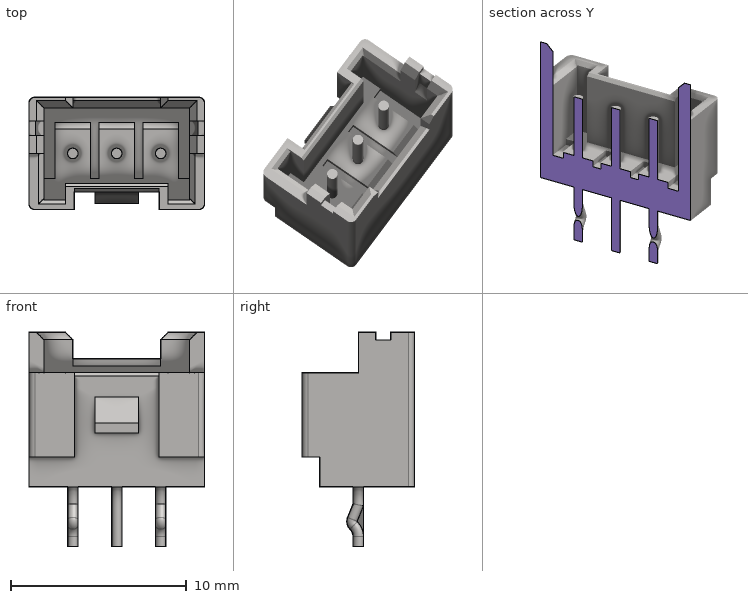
import cadquery as cq
import math


WIDTH = 10.0
DEPTH = 6.4
TOTAL_HEIGHT = 12.2
HEIGHT = 8.8
FRONT_HEIGHT = 6.5
CORNER_RADIUS = 0.35
Y_BACK = DEPTH / 2
Y_FRONT = -DEPTH / 2

SIDE_WALL = 0.85
BACK_WALL = 0.61
BOX_WALL = 0.56
LATCH_WALL = 0.5
X_CAVITY = WIDTH / 2 - SIDE_WALL
Y_CAVITY_BACK = Y_BACK - BACK_WALL
Y_CAVITY_FRONT = Y_FRONT + BOX_WALL

LEAD_IN = 0.43
LOW_SIDE_LEAD_IN = 0.3
LOW_FRONT_LEAD_IN = 0.23

BACK_NOTCH_WIDTH = 5.0
BACK_NOTCH_FLOOR = 7.3
SIDE_NOTCH_DEPTH = 0.44
GROOVE_WIDTH = 0.84
GROOVE_FROM_BACK = 1.35
GROOVE_FOOT = 6.04
GROOVE_SKIN = 0.38

RECESS_WIDTH = 4.82
RECESS_DEPTH = 1.0
LEDGE_HEIGHT = 1.7
OUTER_CHAMFER = 0.21
INNER_CHAMFER = 0.17
LATCH_WIDTH = 2.49
LATCH_REACH = 0.65
LATCH_TOP = 5.1
LATCH_EDGE = 3.64
LATCH_BOTTOM = 3.06
Y_LATCH_WALL = Y_FRONT + RECESS_DEPTH

TONGUE_RAMP = 0.38
FLOOR_TOP = LEDGE_HEIGHT
SHELF_TOP = FLOOR_TOP + TONGUE_RAMP
TONGUE_WIDTH = 2.0
Y_TONGUE_END = 1.76
Y_SHELF_EDGE = -1.42

PIN_DIAMETER = 0.6
PIN_PITCH = 2.5
PIN_TOP = 5.87
PIN_BOTTOM = HEIGHT - TOTAL_HEIGHT
KINK_START = -1.02
KINK_ANGLE = math.radians(22)
RETURN_ANGLE = math.radians(45)
ELBOW_RADIUS = 0.32
RETURN_RADIUS = 0.9


def block(x0, x1, y0, y1, z0, z1):
    """Box between opposite corners."""
    return cq.Workplane("XY").box(x1 - x0, y1 - y0, z1 - z0, centered=False).translate((x0, y0, z0))


def prism_along_x(points, length):
    """Outline of (y, z) points, extruded symmetrically about X = 0."""
    return cq.Workplane("YZ").polyline(points).close().extrude(length / 2, both=True)


def prism_along_y(points, y0, y1):
    """Outline of (x, z) points, extruded from y0 to y1."""
    return cq.Workplane("XZ", origin=(0, y0, 0)).polyline(points).close().extrude(y0 - y1)


def flared_mouth(y0, y1, z_top, depth):
    """Cutter as wide as the cavity that opens outward at 45 degrees up to z_top."""
    length = y1 - y0
    return (
        cq.Workplane("XY", origin=(0, (y0 + y1) / 2, z_top - depth))
        .rect(2 * X_CAVITY, length)
        .workplane(offset=depth)
        .rect(2 * (X_CAVITY + depth), length + 2 * depth)
        .loft(ruled=True)
    )


def outer_shell():
    """Rounded block, cut down to the lower front height ahead of the centre plane."""
    shell = cq.Workplane("XY").rect(WIDTH, DEPTH).extrude(HEIGHT)
    shell = shell.edges("|Z").fillet(CORNER_RADIUS)
    return shell.cut(block(-WIDTH, WIDTH, Y_FRONT, 0, FRONT_HEIGHT, HEIGHT))


def cavity():
    """Pocket with lead-ins on the tall rear rim and on the lower front rim."""
    pocket = block(-X_CAVITY, X_CAVITY, Y_CAVITY_FRONT, Y_CAVITY_BACK, FLOOR_TOP, HEIGHT)
    tall_mouth = flared_mouth(Y_CAVITY_FRONT, Y_CAVITY_BACK, HEIGHT, LEAD_IN)
    y_low_start = Y_CAVITY_FRONT + LOW_SIDE_LEAD_IN - LOW_FRONT_LEAD_IN
    low_mouth = flared_mouth(y_low_start, Y_CAVITY_BACK, FRONT_HEIGHT, LOW_SIDE_LEAD_IN)
    low_mouth = low_mouth.intersect(block(-WIDTH, WIDTH, Y_FRONT, 0, 0, HEIGHT))
    return pocket.union(tall_mouth).union(low_mouth)


def back_notch():
    """Wide notch in the back wall with flared top corners and a lead-in along its floor."""
    half = BACK_NOTCH_WIDTH / 2
    z_flare = HEIGHT - LEAD_IN
    notch = prism_along_y(
        [
            (-half, BACK_NOTCH_FLOOR),
            (half, BACK_NOTCH_FLOOR),
            (half, z_flare),
            (half + LEAD_IN, HEIGHT),
            (-half - LEAD_IN, HEIGHT),
            (-half, z_flare),
        ],
        0,
        Y_BACK,
    )
    lead_in = prism_along_x(
        [
            (Y_CAVITY_BACK, BACK_NOTCH_FLOOR - LEAD_IN),
            (Y_CAVITY_BACK + LEAD_IN, BACK_NOTCH_FLOOR),
            (Y_CAVITY_BACK, BACK_NOTCH_FLOOR),
        ],
        BACK_NOTCH_WIDTH,
    )
    return notch.union(lead_in)


def side_grooves():
    """Upright groove inside each side wall, with a sloped foot and a notch through the rim."""
    y1 = Y_BACK - GROOVE_FROM_BACK
    y0 = y1 - GROOVE_WIDTH
    x_groove = WIDTH / 2 - GROOVE_SKIN
    z_slope_top = GROOVE_FOOT + x_groove - X_CAVITY
    profile = [
        (-X_CAVITY, GROOVE_FOOT),
        (X_CAVITY, GROOVE_FOOT),
        (x_groove, z_slope_top),
        (x_groove, HEIGHT),
        (-x_groove, HEIGHT),
        (-x_groove, z_slope_top),
    ]
    rim_notch = block(-WIDTH / 2, WIDTH / 2, y0, y1, HEIGHT - SIDE_NOTCH_DEPTH, HEIGHT)
    return prism_along_y(profile, y0, y1).union(rim_notch)


def shelf():
    """Raised front shelf with three tongues, each ramped down at its rear end."""
    raised = block(-X_CAVITY, X_CAVITY, Y_CAVITY_FRONT, Y_SHELF_EDGE, FLOOR_TOP, SHELF_TOP)
    tongue = prism_along_x(
        [
            (Y_SHELF_EDGE, FLOOR_TOP),
            (Y_TONGUE_END, FLOOR_TOP),
            (Y_TONGUE_END - TONGUE_RAMP, SHELF_TOP),
            (Y_SHELF_EDGE, SHELF_TOP),
        ],
        TONGUE_WIDTH,
    )
    for i in (-1, 0, 1):
        raised = raised.union(tongue.translate((i * PIN_PITCH, 0, 0)))
    return raised


def latch_wall():
    """Block behind and beside the recess, with its inner top edge chamfered."""
    y_inner = Y_LATCH_WALL + LATCH_WALL
    profile = [
        (Y_FRONT, FLOOR_TOP),
        (y_inner, FLOOR_TOP),
        (y_inner, FRONT_HEIGHT - INNER_CHAMFER),
        (y_inner - INNER_CHAMFER, FRONT_HEIGHT),
        (Y_FRONT, FRONT_HEIGHT),
    ]
    return prism_along_x(profile, RECESS_WIDTH + 2 * LATCH_WALL)


def front_recess():
    """Recess between the corner boxes, chamfering the wall top, and the step below them."""
    recess = prism_along_x(
        [
            (Y_FRONT, 0),
            (Y_LATCH_WALL, 0),
            (Y_LATCH_WALL, FRONT_HEIGHT - OUTER_CHAMFER),
            (Y_LATCH_WALL + OUTER_CHAMFER, FRONT_HEIGHT),
            (Y_FRONT, FRONT_HEIGHT),
        ],
        RECESS_WIDTH,
    )
    step = block(-WIDTH / 2, WIDTH / 2, Y_FRONT, Y_LATCH_WALL, 0, LEDGE_HEIGHT)
    return recess.union(step)


def latch():
    """Wedge on the latch wall, sloped on top and flat underneath."""
    y_tip = Y_LATCH_WALL - LATCH_REACH
    profile = [
        (Y_LATCH_WALL, LATCH_BOTTOM),
        (y_tip, LATCH_BOTTOM),
        (y_tip, LATCH_EDGE),
        (Y_LATCH_WALL, LATCH_TOP),
    ]
    return prism_along_x(profile, LATCH_WIDTH)


def straight_pin():
    """Plain round pin."""
    base = cq.Workplane("XY", origin=(0, 0, PIN_BOTTOM))
    return base.circle(PIN_DIAMETER / 2).extrude(PIN_TOP - PIN_BOTTOM)


def kinked_pin():
    """Round pin whose tail leans toward -Y, turns at an elbow and curves back onto its axis."""
    lean_reach = ELBOW_RADIUS * (math.cos(KINK_ANGLE) - math.cos(RETURN_ANGLE))
    lean_reach += RETURN_RADIUS * (1 - math.cos(RETURN_ANGLE))
    y_lean = -lean_reach
    z_lean = KINK_START - lean_reach / math.tan(KINK_ANGLE)

    y_pivot = y_lean + ELBOW_RADIUS * math.cos(KINK_ANGLE)
    z_pivot = z_lean - ELBOW_RADIUS * math.sin(KINK_ANGLE)
    mid_angle = (RETURN_ANGLE - KINK_ANGLE) / 2
    elbow_mid = (
        y_pivot - ELBOW_RADIUS * math.cos(mid_angle),
        z_pivot - ELBOW_RADIUS * math.sin(mid_angle),
    )
    y_turn = y_pivot - ELBOW_RADIUS * math.cos(RETURN_ANGLE)
    z_turn = z_pivot - ELBOW_RADIUS * math.sin(RETURN_ANGLE)

    z_end = z_turn - RETURN_RADIUS * math.sin(RETURN_ANGLE)
    half_return = RETURN_ANGLE / 2
    return_mid = (
        -RETURN_RADIUS * (1 - math.cos(half_return)),
        z_end + RETURN_RADIUS * math.sin(half_return),
    )

    path = (
        cq.Workplane("YZ")
        .moveTo(0, PIN_TOP)
        .lineTo(0, KINK_START)
        .lineTo(y_lean, z_lean)
        .threePointArc(elbow_mid, (y_turn, z_turn))
        .threePointArc(return_mid, (0, z_end))
        .lineTo(0, PIN_BOTTOM)
    )
    section = cq.Workplane("XY", origin=(0, 0, PIN_TOP)).circle(PIN_DIAMETER / 2)
    return section.sweep(path, transition="right")


shroud = outer_shell().cut(cavity()).cut(back_notch()).cut(side_grooves())
shroud = shroud.union(shelf()).union(latch_wall()).cut(front_recess()).union(latch())

result = shroud.union(straight_pin())
for side in (-1, 1):
    result = result.union(kinked_pin().translate((side * PIN_PITCH, 0, 0)))